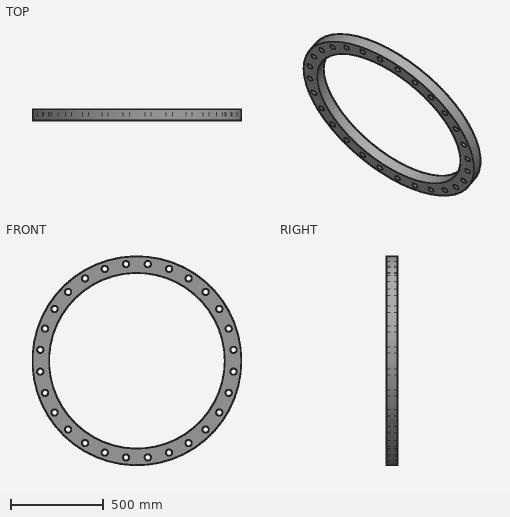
import cadquery as cq

outer_diameter = 1129.0
bore_diameter = 947.0
thickness = 62.0

bolt_hole_count = 28
bolt_hole_diameter = 33.0
bolt_circle_diameter = 1050.0
bolt_pitch_angle = 360.0 / bolt_hole_count
first_bolt_angle = bolt_pitch_angle / 2


def make_ring():
    """Plain flat ring, centred on the origin across its thickness."""
    return (
        cq.Workplane("XZ", origin=(0, thickness / 2, 0))
        .circle(outer_diameter / 2)
        .circle(bore_diameter / 2)
        .extrude(thickness)
    )


def make_bolt_holes():
    """Cylinders that cut the full circle of through holes."""
    return (
        cq.Workplane("XZ", origin=(0, thickness / 2, 0))
        .polarArray(bolt_circle_diameter / 2, first_bolt_angle, 360, bolt_hole_count)
        .circle(bolt_hole_diameter / 2)
        .extrude(thickness)
    )


result = make_ring().cut(make_bolt_holes())